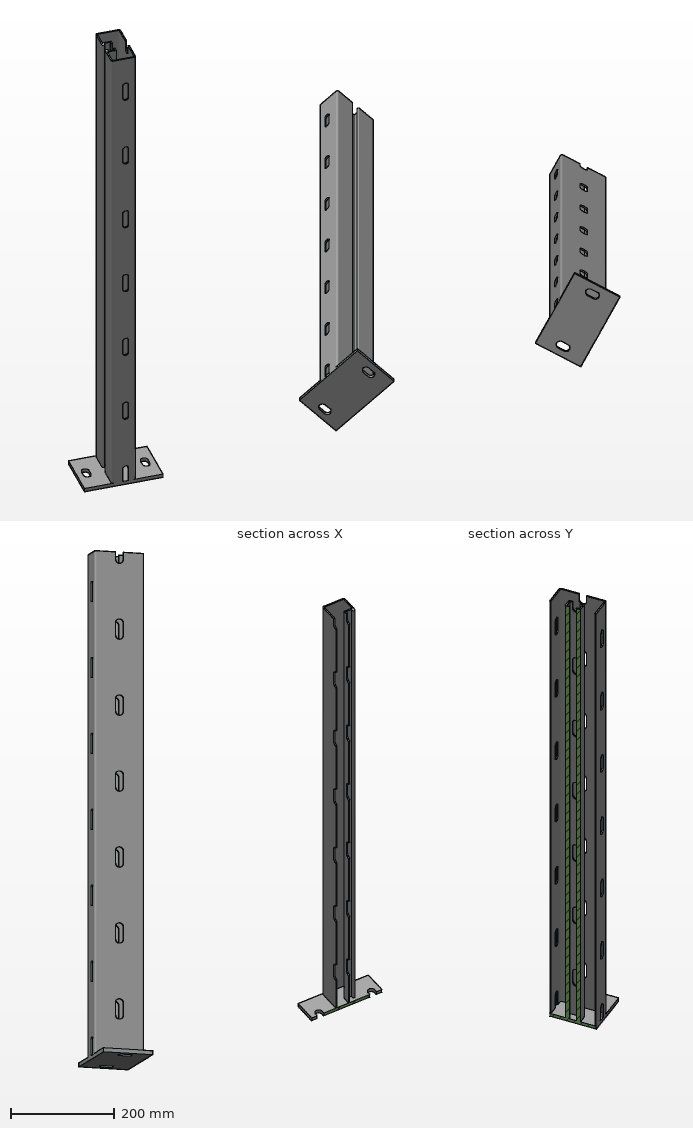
import cadquery as cq

height = 1000.0
width = 100.0

plate_depth = 160.0
plate_thickness = 8.0
plate_slot_length = 28.0
plate_slot_width = 15.0
plate_slot_offset = 60.0

post_depth = 50.0
sheet = 3.0
bend_radius = 4.0
channel_width = 33.0
channel_depth = 21.0
mouth_width = 14.0
lip_thickness = 2 * sheet
lip_radius = lip_thickness / 2

slot_pitch = 150.0
slot_length = 40.0
face_slot_width = 16.0
side_slot_width = 12.0
side_slot_offset = 4.0
slot_count = 7
lowest_side_slot = 23.0
lowest_face_slot = lowest_side_slot + slot_pitch / 2

post_height = height - plate_thickness
front_y = -post_depth / 2


def upright_bar(size_x, size_y, center_y=0.0):
    """Bar standing on the base plate and reaching the top of the post."""
    bar = cq.Workplane("XY").box(size_x, size_y, post_height, centered=(True, True, False))
    return bar.translate((0, center_y, plate_thickness))


def make_plate():
    plate = cq.Workplane("XY").box(width, plate_depth, plate_thickness, centered=(True, True, False))
    return (
        plate.faces(">Z")
        .workplane()
        .pushPoints([(0, -plate_slot_offset), (0, plate_slot_offset)])
        .slot2D(plate_slot_length, plate_slot_width)
        .cutThruAll()
    )


def make_post():
    """Hollow post with a rail channel folded into its front wall."""
    outside = upright_bar(width, post_depth).edges("|Z").fillet(bend_radius)
    inside = upright_bar(width - 2 * sheet, post_depth - 2 * sheet)
    tube = outside.cut(inside.edges("|Z").fillet(bend_radius - sheet))

    channel = upright_bar(channel_width, channel_depth, front_y + channel_depth / 2)
    hollow_depth = channel_depth - sheet - lip_thickness
    hollow_y = front_y + lip_thickness + hollow_depth / 2
    hollow = upright_bar(channel_width - 2 * sheet, hollow_depth, hollow_y)

    lip_y = front_y + lip_thickness / 2
    lip_x = mouth_width / 2 + lip_radius
    mouth = upright_bar(2 * lip_x, lip_thickness, lip_y)
    lip_rolls = (
        cq.Workplane("XY", origin=(0, 0, plate_thickness))
        .pushPoints([(-lip_x, lip_y), (lip_x, lip_y)])
        .circle(lip_radius)
        .extrude(post_height)
    )
    return tube.union(channel).cut(hollow).cut(mouth).union(lip_rolls)


def slot_places(offset, lowest):
    """Slot centers as (sideways, height) pairs, evenly spaced up the post."""
    return [(offset, lowest + i * slot_pitch) for i in range(slot_count)]


def make_face_slots():
    """Upright slots through the channel floor and the back wall; the top one is open."""
    behind_lips = cq.Workplane("XZ", origin=(0, front_y + lip_thickness, 0))
    slots = behind_lips.pushPoints(slot_places(0, lowest_face_slot))
    return slots.slot2D(slot_length, face_slot_width, 90).extrude(-post_depth)


def make_side_slots():
    """Upright slots through both side walls; the lowest one runs down to the plate."""
    slots = cq.Workplane("YZ").pushPoints(slot_places(side_slot_offset, lowest_side_slot))
    return slots.slot2D(slot_length, side_slot_width, 90).extrude(width, both=True)


post = make_post().cut(make_face_slots()).cut(make_side_slots())
result = make_plate().union(post)